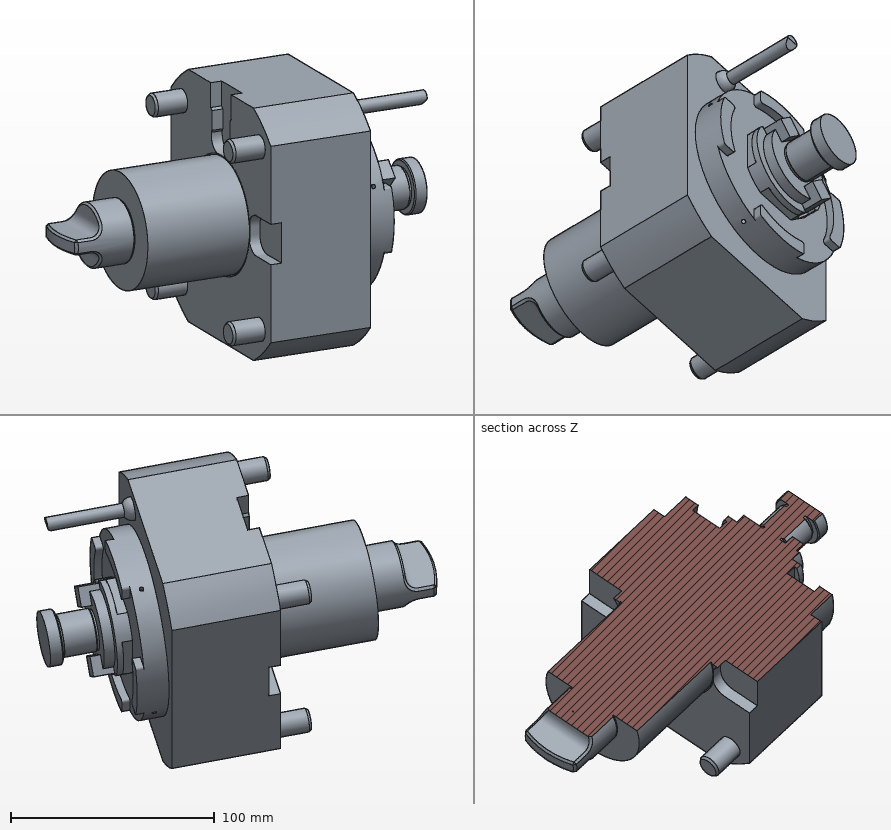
import cadquery as cq
import math


BODY_WIDTH = 108.0
BODY_HEIGHT = 130.0
BODY_BACK = 55.0
BODY_CORNER_DIAMETER = 148.0

SLOT_DEPTH = 6.0
SLOT_HALF_WIDTH = 10.4
SLOT_CORNER_RADIUS = 8.0
SLOT_END = 30.4
TOP_SLOT_MOUTH_HALF_WIDTH = 11.0
TOP_SLOT_MOUTH_END = 52.2
TOP_SLOT_WAIST_HALF_WIDTH = 9.7
TOP_SLOT_WAIST_START = 51.0
TOP_SLOT_WAIST_END = 40.8
TOP_SLOT_WIDE_START = 39.6

SHANK_DIAMETER = 60.0
SHANK_END = -55.5
SHANK_RECESS_DIAMETER = 61.5
SHANK_RECESS_DEPTH = 0.5

DRIVE_DIAMETER = 33.0
DRIVE_COLLAR_DIAMETER = 32.0
DRIVE_COLLAR_LENGTH = 0.6
TONGUE_SHOULDER = -73.6
TONGUE_TIP = -91.0
TONGUE_THICKNESS = 7.8
TONGUE_ROOT_RADIUS = 6.0
TONGUE_TIP_RADIUS = 47.0
TONGUE_CHAMFER = 1.1

BOLT_DIAMETER = 12.0
BOLT_X = 42.0
BOLT_Z = 47.0
BOLT_END = -17.4
BOLT_CHAMFER_RADIAL = 0.9
BOLT_CHAMFER_LENGTH = 1.3

COVER_DIAMETER = 96.0
COVER_BACK = 67.0
LUG_BACK = 71.1
LUG_WIDTH = 34.0
LUG_INNER_DIAMETER = 80.0
LUG_CORNER_RADIUS = 1.5
COVER_HOLE_DIAMETER = 2.1
COVER_HOLE_DEPTH = 4.0
COVER_HOLE_Y = 61.5
COVER_HOLE_ANGLE = 22.5

HUB_ACROSS_FLATS = 43.8
FLANGE_DIAMETER = 50.0
FLANGE_FLAT_DISTANCE = 23.7
FLANGE_FRONT = 72.2
NOSE_DIAMETER = 40.0
NOSE_FRONT = 75.4
NOSE_BACK = 80.8
KEY_WIDTH = 10.4
KEY_INNER = 12.3
KEY_OUTER = 22.5
KEY_BACK = 86.1
KEY_POINT = 67.4
KEY_TILT = 45.0

ARBOR_DIAMETER = 22.0
ARBOR_NECK_DIAMETER = 20.6
ARBOR_FRONT = 81.8
ARBOR_BACK = 98.5
ARBOR_CHAMFER = 0.5
ARBOR_FLAT_DISTANCE = 10.5
HEAD_DIAMETER = 28.0
HEAD_FRONT = 99.8
HEAD_BACK = 106.5
HEAD_CHAMFER = 0.6

PIPE_DIAMETER = 7.0
PIPE_X = 26.0
PIPE_Z = 54.0
PIPE_BACK = 98.7
PIPE_BEVEL_LENGTH = 2.9
PIPE_BALL_DIAMETER = 12.0


def section(y):
    """Sketch plane across the tool axis at the given Y, with local axes X and Z."""
    return cq.Workplane("XZ", origin=(0, y, 0))


def cylinder(diameter, y_from, y_to, x=0, z=0):
    """Cylinder along Y between two Y positions."""
    return section(y_from).center(x, z).circle(diameter / 2).extrude(y_from - y_to)


def block(x_size, z_size, y_from, y_to, x=0, z=0):
    """Rectangular block between two Y positions, centred at x, z."""
    return section(y_from).center(x, z).rect(x_size, z_size).extrude(y_from - y_to)


def turn(shape, angle):
    """Turn a shape about the tool axis; a positive angle carries +Z towards +X."""
    return shape.rotate((0, 0, 0), (0, 1, 0), angle)


def make_side_slot():
    """Slot with a rounded inner end, made pointing to +Z and turned into place afterwards."""
    length = BODY_HEIGHT / 2 - SLOT_END
    slot = block(2 * SLOT_HALF_WIDTH, length, 0, SLOT_DEPTH, z=SLOT_END + length / 2)
    return slot.edges("|Y and <Z").fillet(SLOT_CORNER_RADIUS)


def make_top_slot():
    """Slot with a wide mouth, a narrower waist and a rounded inner end."""
    half_outline = [
        (TOP_SLOT_MOUTH_HALF_WIDTH, BODY_HEIGHT / 2),
        (TOP_SLOT_MOUTH_HALF_WIDTH, TOP_SLOT_MOUTH_END),
        (TOP_SLOT_WAIST_HALF_WIDTH, TOP_SLOT_WAIST_START),
        (TOP_SLOT_WAIST_HALF_WIDTH, TOP_SLOT_WAIST_END),
        (SLOT_HALF_WIDTH, TOP_SLOT_WIDE_START),
        (SLOT_HALF_WIDTH, SLOT_END),
    ]
    mirrored = [(-x, z) for x, z in reversed(half_outline)]
    slot = section(0).polyline(half_outline + mirrored).close().extrude(-SLOT_DEPTH)
    return slot.edges("|Y and <Z").fillet(SLOT_CORNER_RADIUS)


def make_body():
    body = block(BODY_WIDTH, BODY_HEIGHT, 0, BODY_BACK)
    body = body.intersect(cylinder(BODY_CORNER_DIAMETER, 0, BODY_BACK))
    body = body.cut(make_top_slot())
    for angle in (-90, 90):
        body = body.cut(turn(make_side_slot(), angle))
    return body.cut(cylinder(SHANK_RECESS_DIAMETER, 0, SHANK_RECESS_DEPTH))


def make_tongue_relief():
    """Material removed above the tongue: a flat, a root radius and the shoulder face."""
    radius = TONGUE_ROOT_RADIUS
    flat = TONGUE_THICKNESS / 2
    root_y = TONGUE_SHOULDER - radius
    outside = DRIVE_DIAMETER
    arc_offset = radius * math.sqrt(0.5)
    return (
        cq.Workplane("YZ", origin=(-DRIVE_DIAMETER, 0, 0))
        .moveTo(TONGUE_TIP - radius, flat)
        .lineTo(root_y, flat)
        .threePointArc(
            (root_y + arc_offset, flat + radius - arc_offset),
            (TONGUE_SHOULDER, flat + radius),
        )
        .lineTo(TONGUE_SHOULDER, outside)
        .lineTo(TONGUE_TIP - radius, outside)
        .close()
        .extrude(2 * DRIVE_DIAMETER)
    )


def make_drive_shaft():
    shaft = cylinder(DRIVE_DIAMETER, SHANK_END - DRIVE_COLLAR_LENGTH, TONGUE_TIP)
    tip_rounding = (
        cq.Workplane("XY", origin=(0, TONGUE_TIP + TONGUE_TIP_RADIUS, -DRIVE_DIAMETER))
        .circle(TONGUE_TIP_RADIUS)
        .extrude(2 * DRIVE_DIAMETER)
    )
    shaft = shaft.intersect(tip_rounding)
    relief = make_tongue_relief()
    shaft = shaft.cut(relief).cut(relief.mirror("XY"))
    rim = cq.selectors.BoxSelector(
        (-DRIVE_DIAMETER, TONGUE_TIP, -DRIVE_DIAMETER),
        (DRIVE_DIAMETER, TONGUE_SHOULDER + TONGUE_CHAMFER, DRIVE_DIAMETER),
    )
    shaft = shaft.edges(rim).edges("not |X").chamfer(TONGUE_CHAMFER)
    return shaft.union(cylinder(DRIVE_COLLAR_DIAMETER, SHANK_END, SHANK_END - DRIVE_COLLAR_LENGTH))


def make_bolt(x, z):
    bolt = cylinder(BOLT_DIAMETER, 0, BOLT_END, x, z)
    return bolt.faces("<Y").chamfer(BOLT_CHAMFER_LENGTH, BOLT_CHAMFER_RADIAL)


def make_lug():
    """Lug on the rim of the bearing cover at +Z."""
    ring = cylinder(COVER_DIAMETER, COVER_BACK, LUG_BACK)
    ring = ring.cut(cylinder(LUG_INNER_DIAMETER, COVER_BACK, LUG_BACK))
    sector = block(LUG_WIDTH, COVER_DIAMETER, COVER_BACK, LUG_BACK, z=COVER_DIAMETER / 2)
    return ring.intersect(sector).edges("|Y").fillet(LUG_CORNER_RADIUS)


def make_cover():
    cover = cylinder(COVER_DIAMETER, BODY_BACK, COVER_BACK)
    lug = make_lug()
    hole = (
        cq.Workplane("XY", origin=(0, COVER_HOLE_Y, COVER_DIAMETER / 2 - COVER_HOLE_DEPTH))
        .circle(COVER_HOLE_DIAMETER / 2)
        .extrude(2 * COVER_HOLE_DEPTH)
    )
    for quarter in (0, 90, 180, 270):
        cover = cover.union(turn(lug, quarter))
        cover = cover.cut(turn(hole, quarter - COVER_HOLE_ANGLE))
    return cover


def make_key_recess():
    """Recess from a flange flat down to the key end, with a pointed bottom in the hub."""
    half_width = KEY_WIDTH / 2
    return (
        cq.Workplane("XY", origin=(0, 0, KEY_OUTER))
        .moveTo(-half_width, NOSE_FRONT)
        .lineTo(-half_width, LUG_BACK)
        .lineTo(0, KEY_POINT)
        .lineTo(half_width, LUG_BACK)
        .lineTo(half_width, NOSE_FRONT)
        .close()
        .extrude(FLANGE_DIAMETER / 2)
    )


def make_spindle_nose():
    """Four-sided hub, flange and nose disc carrying two opposite drive keys."""
    flange = cylinder(FLANGE_DIAMETER, COVER_BACK, NOSE_FRONT).intersect(
        block(FLANGE_DIAMETER, 2 * FLANGE_FLAT_DISTANCE, COVER_BACK, NOSE_FRONT)
    )
    below_flange = block(HUB_ACROSS_FLATS, HUB_ACROSS_FLATS, COVER_BACK, FLANGE_FRONT)
    above_flange = cylinder(FLANGE_DIAMETER, FLANGE_FRONT, NOSE_BACK)
    nose = flange.intersect(turn(below_flange, -KEY_TILT).union(above_flange))
    nose = nose.union(cylinder(NOSE_DIAMETER, FLANGE_FRONT, NOSE_BACK))
    key_length = KEY_OUTER - KEY_INNER
    key_middle = (KEY_OUTER + KEY_INNER) / 2
    key = block(KEY_WIDTH, key_length, LUG_BACK, KEY_BACK, z=key_middle)
    recess = make_key_recess()
    for angle in (0, 180):
        nose = nose.cut(turn(recess, angle)).union(turn(key, angle))
    return turn(nose, KEY_TILT)


def make_arbor():
    """Arbor with a flat facing one drive key, and a chamfered head."""
    arbor = cylinder(ARBOR_DIAMETER, ARBOR_FRONT, ARBOR_BACK).faces("<Y").chamfer(ARBOR_CHAMFER)
    cut_z = -ARBOR_FLAT_DISTANCE - ARBOR_DIAMETER / 2
    beside_flat = block(ARBOR_DIAMETER, ARBOR_DIAMETER, ARBOR_FRONT, ARBOR_BACK, z=cut_z)
    arbor = arbor.cut(beside_flat)
    neck = cylinder(ARBOR_NECK_DIAMETER, NOSE_BACK, HEAD_FRONT)
    head = cylinder(HEAD_DIAMETER, HEAD_FRONT, HEAD_BACK).faces("<Y").chamfer(HEAD_CHAMFER)
    return turn(arbor.union(neck), KEY_TILT).union(head)


def make_pipe():
    """Pipe with its lower rear edge bevelled, seated in a ball on the body."""
    pipe = cylinder(PIPE_DIAMETER, BODY_BACK, PIPE_BACK, PIPE_X, PIPE_Z)
    bevel = (
        cq.Workplane("YZ", origin=(PIPE_X - PIPE_DIAMETER, 0, 0))
        .moveTo(PIPE_BACK, PIPE_Z)
        .lineTo(PIPE_BACK - PIPE_BEVEL_LENGTH, PIPE_Z - PIPE_DIAMETER / 2)
        .lineTo(PIPE_BACK, PIPE_Z - PIPE_DIAMETER / 2)
        .close()
        .extrude(2 * PIPE_DIAMETER)
    )
    ball = cq.Workplane("XY", origin=(PIPE_X, BODY_BACK, PIPE_Z)).sphere(PIPE_BALL_DIAMETER / 2)
    return pipe.cut(bevel).union(ball)


result = make_body()
result = result.union(cylinder(SHANK_DIAMETER, SHANK_RECESS_DEPTH, SHANK_END))
result = result.union(make_drive_shaft())
for bolt_x in (-BOLT_X, BOLT_X):
    for bolt_z in (-BOLT_Z, BOLT_Z):
        result = result.union(make_bolt(bolt_x, bolt_z))
result = result.union(make_cover())
result = result.union(make_spindle_nose())
result = result.union(make_arbor())
result = result.union(make_pipe())